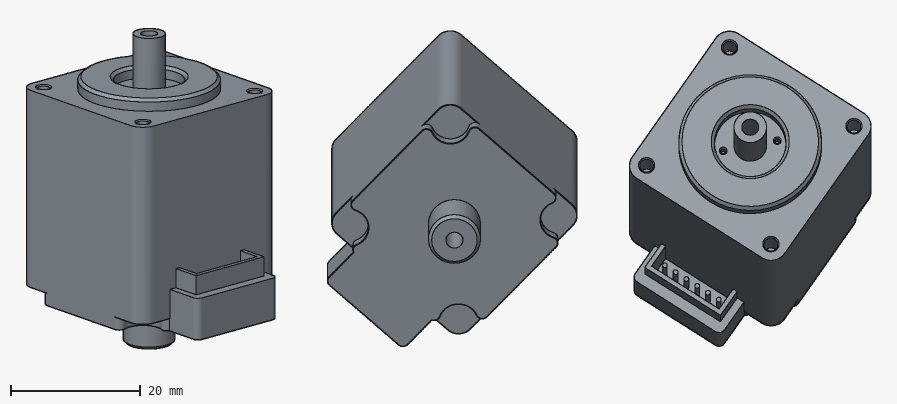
import cadquery as cq
import math

body_side = 28.2
body_height = 34.0
body_corner_radius = 2.5
edge_break = 0.1

relief_height = 2.0
relief_radius = 3.0
relief_lip_radius = 1.0

screw_spacing = 23.0
screw_hole_diameter = 2.1
screw_hole_mouth_diameter = 2.5
screw_hole_depth = 5.0

flange_diameter = 22.0
flange_height = 2.0
flange_chamfer = 0.5
recess_diameter = 11.0
recess_depth = 2.0

floor_hole_offset = 3.0
floor_hole_diameter = 0.8
floor_hole_mouth_diameter = 1.2
floor_hole_depth = 1.5

upper_shaft_diameter = 5.0
upper_shaft_length = 7.0
lower_shaft_diameter = 8.0
lower_shaft_length = 7.0
lower_shaft_chamfer = 0.5
bore_diameter = 2.6

base_reach = 6.4
base_width = 16.5
base_height = 6.8
base_corner_radius = 1.0
connector_root = 1.0
socket_reach = 4.65
socket_width = 14.0
socket_height = 9.9
socket_wall = 0.75
socket_depth = 6.0

pin_count = 6
pin_pitch = 2.0
pin_diameter = 0.75
pin_length = 4.0
pin_distance_from_body = 2.1

body_half = body_side / 2
flange_top = body_height + flange_height
recess_floor = flange_top - recess_depth
shaft_top = flange_top + upper_shaft_length


def cylinder(diameter, bottom, top, x=0, y=0):
    """Upright cylinder between two heights."""
    disc = cq.Workplane("XY", origin=(x, y, bottom)).circle(diameter / 2)
    return disc.extrude(top - bottom)


def countersunk_hole(x, y, surface, diameter, mouth_diameter, depth):
    """Cutter for a blind hole whose mouth has a 45 degree chamfer."""
    chamfer = (mouth_diameter - diameter) / 2
    hole = cylinder(diameter, surface - depth, surface, x, y)
    mouth = (
        cq.Workplane("XY", origin=(x, y, surface))
        .circle(mouth_diameter / 2)
        .workplane(offset=-chamfer)
        .circle(diameter / 2)
        .loft()
    )
    return hole.union(mouth)


def screw_positions():
    """Screw axes at the corners of a centred square."""
    half = screw_spacing / 2
    return [(x, y) for x in (-half, half) for y in (-half, half)]


def make_foot():
    """Lower end of the body, relieved round each screw axis and running up into the block."""
    foot_height = relief_height + edge_break
    foot = cq.Workplane("XY").rect(body_side, body_side).extrude(foot_height)
    for x, y in screw_positions():
        foot = foot.cut(cylinder(2 * relief_radius, 0, foot_height, x, y))
        corner = cq.Workplane("XY", origin=(x, y, 0)).rect(
            math.copysign(body_half, x) - x, math.copysign(body_half, y) - y, centered=False
        )
        foot = foot.cut(corner.extrude(foot_height))
    return foot.edges("|Z").fillet(relief_lip_radius)


def make_block():
    """Main block above the foot, its lower outline chamfered over the corner reliefs."""
    block = (
        cq.Workplane("XY", origin=(0, 0, relief_height))
        .rect(body_side, body_side)
        .extrude(body_height - relief_height)
        .edges("|Z")
        .fillet(body_corner_radius)
    )
    return block.faces("<Z").chamfer(edge_break)


def make_flange():
    """Pilot ring with both upper edges chamfered."""
    disc = cylinder(flange_diameter, body_height, flange_top)
    ring = disc.cut(cylinder(recess_diameter, recess_floor, flange_top))
    return ring.faces(">Z").edges().chamfer(flange_chamfer)


def make_shafts():
    """Plain upper shaft and thicker lower shaft with a chamfered end."""
    upper = cylinder(upper_shaft_diameter, 0, shaft_top)
    lower = cylinder(lower_shaft_diameter, -lower_shaft_length, 0)
    return upper.union(lower.faces("<Z").chamfer(lower_shaft_chamfer))


def wall_block(reach, width, bottom, top, root=0):
    """Block standing out from the +X face of the body, rooted inside it by the given depth."""
    corner = cq.Workplane("XY", origin=(body_half - root, 0, bottom))
    return corner.box(root + reach, width, top - bottom, centered=(False, True, False))


def make_base():
    """Low connector base with rounded outer corners."""
    base = wall_block(base_reach, base_width, 0, base_height, connector_root)
    return base.edges("|Z and >X").fillet(base_corner_radius)


def add_socket(part):
    """Add the open-topped socket and the row of pins inside it to the part."""
    socket_floor = socket_height - socket_depth
    socket = wall_block(socket_reach, socket_width, base_height, socket_height)
    cavity = wall_block(
        socket_reach - socket_wall, socket_width - 2 * socket_wall, socket_floor, socket_height
    )
    part = part.union(socket).cut(cavity)
    for index in range(pin_count):
        y = (index - (pin_count - 1) / 2) * pin_pitch
        x = body_half + pin_distance_from_body
        part = part.union(cylinder(pin_diameter, socket_floor, socket_floor + pin_length, x, y))
    return part


result = make_foot().union(make_base()).faces("<Z").chamfer(edge_break)
result = add_socket(result.union(make_block()))
result = result.union(make_flange())

for screw_x, screw_y in screw_positions():
    result = result.cut(
        countersunk_hole(
            screw_x, screw_y, body_height,
            screw_hole_diameter, screw_hole_mouth_diameter, screw_hole_depth,
        )
    )

for side in (-1, 1):
    result = result.cut(
        countersunk_hole(
            side * floor_hole_offset, -side * floor_hole_offset, recess_floor,
            floor_hole_diameter, floor_hole_mouth_diameter, floor_hole_depth,
        )
    )

result = result.union(make_shafts())
result = result.cut(cylinder(bore_diameter, -lower_shaft_length, shaft_top))